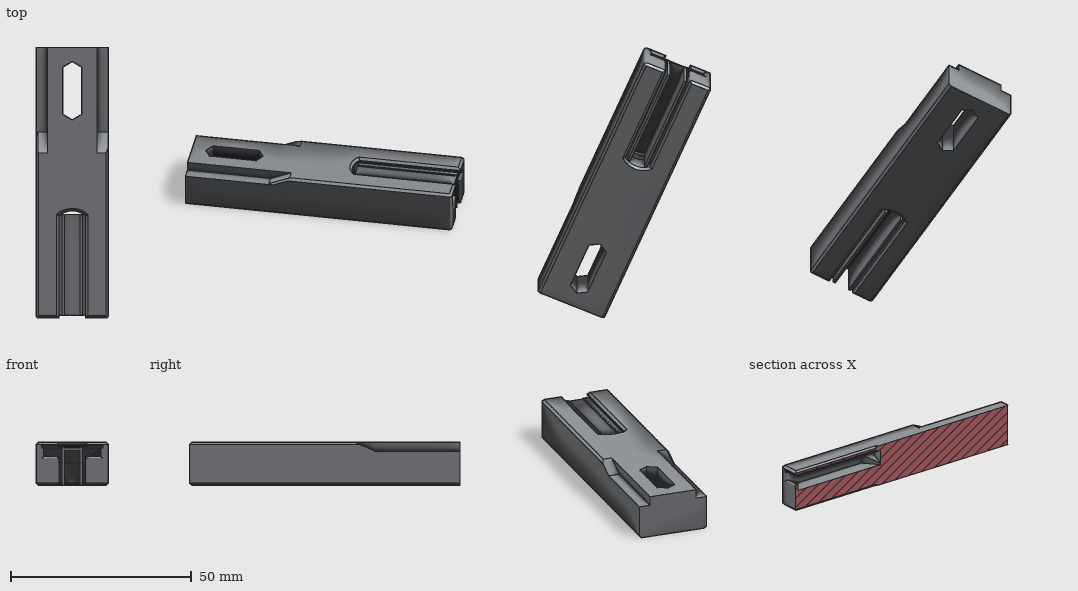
import cadquery as cq
import math

WIDTH = 20.0
LENGTH = 74.95
HEIGHT = 12.0
CHAMFER = 0.7
CORNER_RADIUS = 0.75
BEYOND = 3.75

SHOULDER_WIDTH = 3.15
SHOULDER_DROP = 2.55
RAMP_TOP_Y = 45.7
RAMP_BOTTOM_Y = 51.6
RAMP_BEVEL = 0.5

HEX_WIDTH = 5.25
HEX_FRONT_Y = 56.45
HEX_REAR_Y = 69.5

STEM_WIDTH = 7.35
STEM_END_RADIUS = 5.8
STEM_END_Y = 29.7

TEE_WIDTH = 15.9
TEE_CEILING_Z = 10.35
CAVITY_FLOOR_Z = 6.15
CAVITY_END_Y = 30.0
SILL_TOP_Z = 7.95
SILL_THICKNESS = 1.05
MOUTH_RADIUS = 0.5
SILL_BACK_RADIUS = 0.45

INSERT_FRONT_Y = 0.75
INSERT_LENGTH = 27.95
INSERT_WIDTH = 5.6
WALL = 0.7
LIP_HEIGHT = 0.2
LIP_SPAN = 7.9

WEDGE_DEPTH = 3.6
WEDGES = [(-1, 0.45, 2.6), (1, 1.0, 4.05)]


def block():
    """Block with rounded front corners and bevelled top and bottom rims, square at the rear."""
    body = cq.Workplane("XY").box(WIDTH, LENGTH, HEIGHT, centered=(True, False, False))
    body = body.edges("|Z and <Y").fillet(CORNER_RADIUS)
    return body.faces("<Z or >Z").edges("not >Y").chamfer(CHAMFER)


def shoulder(side):
    """Tool for the shoulder and ramp on one side (-1 left, 1 right)."""
    rear = LENGTH + BEYOND
    shelf_z = HEIGHT - SHOULDER_DROP
    inner_x = WIDTH / 2 - SHOULDER_WIDTH
    profile = [(RAMP_TOP_Y, HEIGHT), (RAMP_BOTTOM_Y, shelf_z), (rear, shelf_z), (rear, HEIGHT)]
    tool = cq.Workplane("YZ").polyline(profile).close().extrude(SHOULDER_WIDTH + BEYOND)
    tool = tool.translate((inner_x, 0, 0))
    return tool if side > 0 else tool.mirror("YZ")


def ramp_bevel():
    """Tool that bevels the outer edge of the left ramp."""
    run = RAMP_BOTTOM_Y - RAMP_TOP_Y
    slope_length = math.hypot(run, SHOULDER_DROP)
    edge = cq.Plane(
        origin=(-WIDTH / 2, RAMP_TOP_Y, HEIGHT),
        xDir=(1, 0, 0),
        normal=(0, run, -SHOULDER_DROP),
    )
    corner = [(0, -RAMP_BEVEL), (RAMP_BEVEL, 0), (0, RAMP_BEVEL), (-RAMP_BEVEL, 0)]
    tool = cq.Workplane(edge).polyline(corner).close().extrude(slope_length)
    above_shelf = cq.Workplane("XY", origin=(0, 0, HEIGHT - SHOULDER_DROP)).box(
        2 * WIDTH, 2 * LENGTH, HEIGHT, centered=(True, True, False)
    )
    return tool.intersect(above_shelf)


def hex_opening():
    """Tool for the long through opening with a 120 degree point at each end."""
    half = HEX_WIDTH / 2
    point = half / math.sqrt(3)
    outline = [
        (-half, HEX_FRONT_Y),
        (0, HEX_FRONT_Y - point),
        (half, HEX_FRONT_Y),
        (half, HEX_REAR_Y),
        (0, HEX_REAR_Y + point),
        (-half, HEX_REAR_Y),
    ]
    return cq.Workplane("XY").polyline(outline).close().extrude(HEIGHT)


def stem_outline(plane_z, growth):
    """Plan outline of the stem slot, grown outward, with a shallow arc at its rear end."""
    half = STEM_WIDTH / 2 + growth
    radius = STEM_END_RADIUS + growth
    centre_y = STEM_END_Y - STEM_END_RADIUS
    corner_y = centre_y + math.sqrt(radius**2 - half**2)
    return (
        cq.Workplane("XY", origin=(0, 0, plane_z))
        .moveTo(-half, -BEYOND)
        .lineTo(half, -BEYOND)
        .lineTo(half, corner_y)
        .threePointArc((0, centre_y + radius), (-half, corner_y))
        .close()
    )


def stem_bevels():
    """Tool for the bevels of the stem at the top face, the tee ceiling and the underside."""
    tool = cq.Workplane("XY")
    for wide_z, direction in ((HEIGHT, -1), (TEE_CEILING_Z, 1), (0, 1)):
        tool = tool.union(stem_outline(wide_z, CHAMFER).extrude(direction * CHAMFER, taper=45))
    return tool


def tee_bar(floor_z, start_y, end_y):
    """Straight stretch of the slot's crossbar, from floor_z up to the ceiling."""
    bar = cq.Workplane("XY", origin=(0, start_y, floor_z))
    return bar.box(TEE_WIDTH, end_y - start_y, TEE_CEILING_Z - floor_z, centered=(True, False, False))


def tee_slot():
    """Tool for the crossbar: the mouth above the sill and the deeper cavity behind it."""
    mouth = tee_bar(SILL_TOP_Z, 0, SILL_THICKNESS)
    return mouth.union(tee_bar(CAVITY_FLOOR_Z, SILL_THICKNESS, CAVITY_END_Y))


def round_mouth(body):
    """Round the edges of the T opening at the front face and the rear edge of its sill."""
    reach = TEE_WIDTH / 2 + MOUTH_RADIUS
    near = MOUTH_RADIUS / 2
    around_mouth = cq.selectors.BoxSelector(
        (-reach, -near, 2 * CHAMFER),
        (reach, near, TEE_CEILING_Z - near),
    )
    sill_back = cq.selectors.BoxSelector(
        (-reach, SILL_THICKNESS - near, SILL_TOP_Z - near),
        (reach, SILL_THICKNESS + near, SILL_TOP_Z + near),
    )
    body = body.edges(around_mouth).fillet(MOUTH_RADIUS)
    return body.edges("|X").edges(sill_back).fillet(SILL_BACK_RADIUS)


def ceiling_bevel():
    """Tool that bevels the front edge of the tee ceiling."""
    profile = [(0, TEE_CEILING_Z), (0, TEE_CEILING_Z + CHAMFER), (CHAMFER, TEE_CEILING_Z)]
    tool = cq.Workplane("YZ").polyline(profile).close()
    return tool.extrude(TEE_WIDTH / 2 + MOUTH_RADIUS, both=True)


def make_housing():
    """Block with the slot, shoulders, bevels and rear opening cut away."""
    body = block().cut(stem_outline(0, 0).extrude(HEIGHT)).cut(tee_slot())
    body = round_mouth(body)
    for side in (-1, 1):
        body = body.cut(shoulder(side))
    for tool in (stem_bevels(), ceiling_bevel(), ramp_bevel(), hex_opening()):
        body = body.cut(tool)
    return body.solids()


def make_insert():
    """Thin downward-opening channel with a lip along each upper edge."""
    outer = INSERT_WIDTH / 2
    inner = outer - WALL
    lip = LIP_SPAN / 2
    top = TEE_CEILING_Z
    right_side = [
        (inner, top),
        (inner, top + LIP_HEIGHT),
        (lip, top + LIP_HEIGHT),
        (lip, top),
        (outer, top),
        (outer, 0),
        (inner, 0),
        (inner, top - WALL),
    ]
    left_side = [(-x, z) for x, z in reversed(right_side)]
    section = cq.Workplane("XZ", origin=(0, INSERT_FRONT_Y, 0)).polyline(right_side + left_side)
    return section.close().extrude(-INSERT_LENGTH)


def make_wedge(side, stem_height, wall_height):
    """Wedge on the cavity floor: triangular in plan, its top rising towards the side wall."""
    inner = side * STEM_WIDTH / 2
    outer = side * TEE_WIDTH / 2
    plan = [(inner, CAVITY_END_Y), (outer, CAVITY_END_Y), (outer, CAVITY_END_Y - WEDGE_DEPTH)]
    elevation = [
        (inner, CAVITY_FLOOR_Z),
        (outer, CAVITY_FLOOR_Z),
        (outer, CAVITY_FLOOR_Z + wall_height),
        (inner, CAVITY_FLOOR_Z + stem_height),
    ]
    column = cq.Workplane("XY").polyline(plan).close().extrude(HEIGHT)
    slice_along_y = cq.Workplane("XZ").polyline(elevation).close().extrude(-LENGTH)
    return column.intersect(slice_along_y).solids()


housing = make_housing()
insert = make_insert()
wedges = [make_wedge(*sizes) for sizes in WEDGES]

result = cq.Compound.makeCompound([housing.val(), insert.val(), *[wedge.val() for wedge in wedges]])